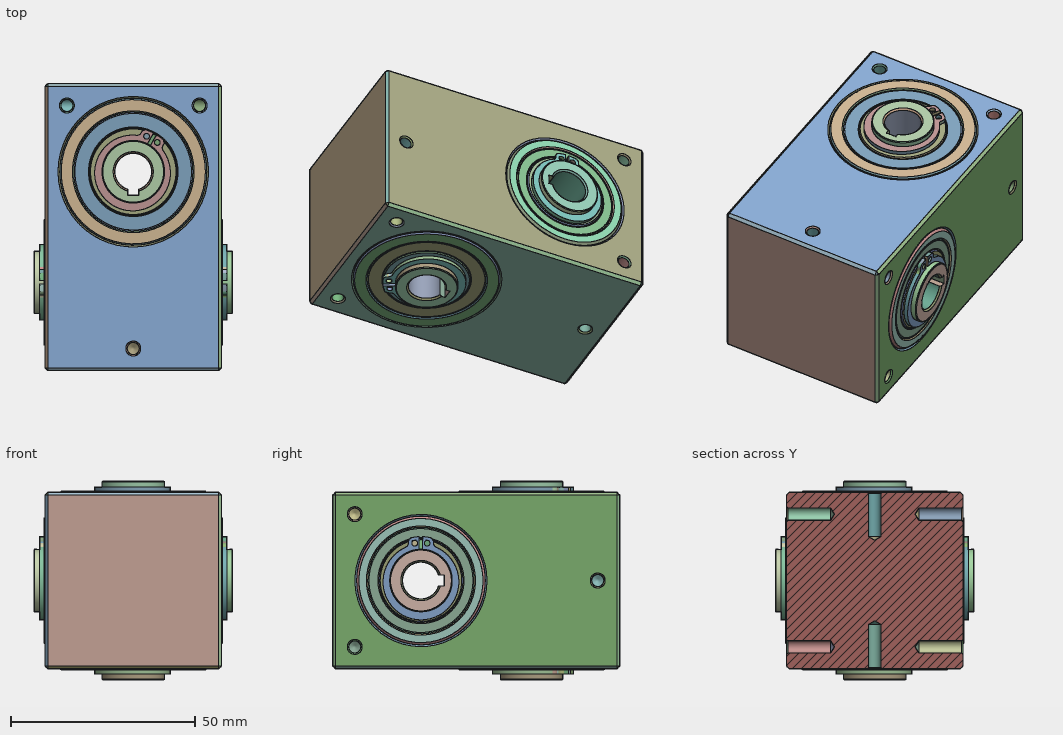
import cadquery as cq
import math

length = 78.0
width = 48.0
edge_chamfer = 0.8
shaft_inset = width / 2
axis_y = length / 2 - shaft_inset
half_width = width / 2

shaft_length = 54.0
shaft_radius = 8.5
shaft_chamfer = 0.2
bore_radius = 5.0
bore_chamfer = 0.5
key_width = 3.0
key_reach = 6.3

bearing_rise = 0.3
bearing_seat_depth = 1.2
seat_chamfer = 0.5
seal_drop = 0.15
groove_depth = 0.3
vertical_bearing = {"outer": 20.0, "chamfer": 0.4, "outer_groove": (15.8, 16.5), "inner_groove": (11.6, 12.2)}
cross_bearing = {"outer": 17.5, "chamfer": 0.6, "outer_groove": (14.1, 14.8), "inner_groove": (11.1, 11.7)}

ring_thickness = 1.1
ring_radius = 10.3
ring_offset = 0.4
ear_tip_radius = 11.9
ear_half_width = 3.4
ear_fillet = 1.2
ear_hole_radius = 0.8
ear_hole_spacing = 3.35
ear_hole_reach = 10.15
ring_gap = 0.9
vertical_ring_turn = -30
cross_keyway_turn = -90

hole_radius = 1.6
hole_chamfer = 0.4
hole_depth = 12.0
hole_inset = 6.0
hole_end = length / 2 - hole_inset
hole_offset = 18.0
drill_point_angle = 118


def bearing_face(outer, chamfer, outer_groove, inner_groove):
    """Bearing end about Z, with the housing face at z = 0; its core is later bored out with the shaft."""
    top = bearing_rise
    seal = top - seal_drop
    floor = top - groove_depth
    profile = [
        (0, -bearing_seat_depth),
        (outer, -bearing_seat_depth),
        (outer, top - chamfer),
        (outer - chamfer, top),
        (outer_groove[1], top),
        (sum(outer_groove) / 2, floor),
        (outer_groove[0], floor),
        (outer_groove[0], seal),
        (inner_groove[1], seal),
        (inner_groove[1], floor),
        (sum(inner_groove) / 2, floor),
        (inner_groove[0], top),
        (0, top),
    ]
    return cq.Workplane("XZ").polyline(profile).close().revolve(360, (0, 0), (0, 1))


def snap_ring():
    """Eccentric snap ring about Z, with its gap and ears toward +Y, resting on the bearing."""
    band = cq.Workplane().center(0, -ring_offset).circle(ring_radius).extrude(ring_thickness)
    ears = (
        cq.Workplane()
        .center(0, ear_tip_radius / 2)
        .rect(2 * ear_half_width, ear_tip_radius)
        .extrude(ring_thickness)
        .intersect(cq.Workplane().circle(ear_tip_radius).extrude(ring_thickness))
    )
    ring = band.union(ears)
    for side in (-1, 1):
        ear_edges = cq.selectors.BoxSelector(
            (side * ear_half_width - 0.1, 0, 0),
            (side * ear_half_width + 0.1, ear_tip_radius, ring_thickness),
        )
        ring = ring.edges("|Z").edges(ear_edges).fillet(ear_fillet)
    gap = (
        cq.Workplane()
        .center(0, ear_tip_radius / 2)
        .rect(ring_gap, 2 * ear_tip_radius)
        .extrude(ring_thickness)
    )
    ear_holes = (
        cq.Workplane()
        .center(0, ear_hole_reach)
        .rarray(ear_hole_spacing, 0.8, 2, 1)
        .circle(ear_hole_radius)
        .extrude(ring_thickness)
    )
    return ring.cut(gap).cut(ear_holes).translate((0, 0, bearing_rise))


def bearing_seat(outer):
    """Chamfered recess for a bearing, about Z below the housing face at z = 0."""
    recess = cq.Workplane().circle(outer).extrude(-bearing_seat_depth)
    lead_in = cq.Solid.makeCone(outer + seat_chamfer, outer, seat_chamfer, dir=cq.Vector(0, 0, -1))
    return recess.union(cq.Workplane(lead_in))


def shaft():
    """Solid shaft along Z, passing through the housing."""
    return (
        cq.Workplane()
        .circle(shaft_radius)
        .extrude(shaft_length / 2, both=True)
        .faces("<Z or >Z")
        .chamfer(shaft_chamfer)
    )


def bore():
    """Through bore along Z with chamfered ends and a keyway toward -Y."""
    end = shaft_length / 2
    mouth = bore_radius + bore_chamfer
    profile = [
        (0, -end),
        (mouth, -end),
        (bore_radius, -end + bore_chamfer),
        (bore_radius, end - bore_chamfer),
        (mouth, end),
        (0, end),
    ]
    hole = cq.Workplane("XZ").polyline(profile).close().revolve(360, (0, 0), (0, 1))
    keyway = cq.Workplane().box(key_width, key_reach, shaft_length).translate((0, -key_reach / 2, 0))
    return hole.union(keyway)


def mounting_hole(depth, x, y):
    """Chamfered blind hole with a drill point, entering the +Z face at (x, y)."""
    mouth = hole_radius + hole_chamfer
    point = hole_radius / math.tan(math.radians(drill_point_angle / 2))
    profile = [
        (0, 0),
        (mouth, 0),
        (hole_radius, -hole_chamfer),
        (hole_radius, -depth),
        (0, -depth - point),
    ]
    hole = cq.Workplane("XZ").polyline(profile).close().revolve(360, (0, 0), (0, 1))
    return hole.translate((x, y, half_width))


def both_faces(feature):
    """A feature of the +Z face, given about z = 0, on that face and mirrored onto the -Z face."""
    raised = feature.translate((0, 0, half_width))
    return raised.union(raised.mirror("XY"))


def place_vertical(feature):
    """Move a feature onto the vertical shaft axis."""
    return feature.translate((0, axis_y, 0))


def turn_across(feature):
    """Turn a feature so that its +Z points along -X and its +Y points up."""
    return feature.rotate((0, 0, 0), (0, 0, 1), -90).rotate((0, 0, 0), (0, 1, 0), -90)


def place_cross(feature):
    """Turn a feature along X and move it onto the cross shaft axis."""
    return turn_across(feature).translate((0, -axis_y, 0))


def turned(feature, angle):
    """Turn a feature about Z."""
    return feature.rotate((0, 0, 0), (0, 0, 1), angle)


result = cq.Workplane().box(width, length, width).edges().chamfer(edge_chamfer)

drives = [
    (place_vertical, vertical_bearing, vertical_ring_turn, 0),
    (place_cross, cross_bearing, 0, cross_keyway_turn),
]
for place, bearing, ring_turn, keyway_turn in drives:
    result = result.cut(place(both_faces(bearing_seat(bearing["outer"]))))
    result = result.union(place(both_faces(bearing_face(**bearing))))
    result = result.union(place(both_faces(turned(snap_ring(), ring_turn))))
    result = result.union(place(shaft()))
    result = result.cut(place(turned(bore(), keyway_turn)))

for side in (-1, 1):
    top_hole = mounting_hole(half_width, side * hole_offset, hole_end)
    bottom_hole = mounting_hole(hole_depth, side * hole_offset, hole_end).mirror("XY")
    result = result.cut(top_hole).cut(bottom_hole)
single_hole = mounting_hole(hole_depth, 0, -hole_end)
result = result.cut(single_hole).cut(single_hole.mirror("XY"))

for x, y in [(-hole_end, 0), (hole_end, -hole_offset), (hole_end, hole_offset)]:
    side_hole = turn_across(mounting_hole(hole_depth, x, y))
    result = result.cut(side_hole).cut(side_hole.mirror("YZ"))